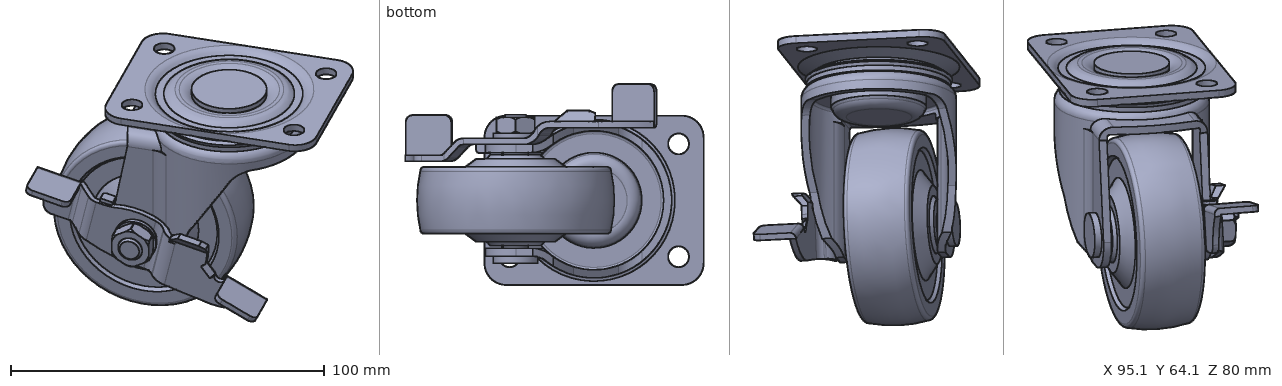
import cadquery as cq
import math


TOTAL_HEIGHT = 80.0
WHEEL_RADIUS = 31.5
AXLE_X = -25.0
AXLE_Z = WHEEL_RADIUS
AXLE_RADIUS = 4.0

PLATE_LENGTH = 69.9
PLATE_WIDTH = 54.0
PLATE_THICKNESS = 2.4
PLATE_CORNER = 7.0
MOUNT_PITCH_X = 53.85
MOUNT_PITCH_Y = 36.0
MOUNT_HOLE_DIAMETER = 6.6
BOWL_DEPTH = 1.7
MOAT_DEPTH = 1.8
BUTTON_RADIUS = 12.0
CREST_INNER_RADIUS = 16.0
CREST_OUTER_RADIUS = 17.3
BOWL_FLOOR_INNER_RADIUS = 20.8
BOWL_FLOOR_OUTER_RADIUS = 23.5
BOWL_EDGE_RADIUS = 26.9
MOAT_CURVE = (13.5, 79.3)
CREST_CURVE = (19.3, 79.4)
BOWL_EDGE_CURVE = (25.0, 79.4)
BOWL_BACK_RADIUS = 25.8
RING_TOP_RADIUS = 20.3
RING_TOP_Z = 75.6
RING_SHOULDER = (22.4, 74.3)
RING_GROOVE = (22.0, 74.0)
RING_LIP_RADIUS = 23.5
RING_LIP_Z = 73.45
RING_LIP_HEIGHT = 1.1
RING_RADIUS = 23.0
STEM_RADIUS = 10.5
CUP_RADIUS = 15.2
CUP_EDGE_Z = 64.4
CUP_RIM = (14.7, 63.6)
CUP_BOTTOM_Z = 61.3
CUP_CURVE = (13.5, 61.9)

SHEET = 2.6
LEG_OUTER_Y = 17.8
LEG_INNER_Y = LEG_OUTER_Y - SHEET
DOME_RADIUS = 24.7
DOME_TOP_Z = 70.7
DOME_FILLET = 3.4
SHELF_TOP_Z = 68.6
SHELF_BEND = 4.5
SHELF_INNER_BEND = 0.8
SHELF_FRONT_X = -31.1
SKIRT_BOTTOM_Z = SHELF_TOP_Z - SHELF_BEND
LEG_BLEND_X = -20.1
LEG_TOP_X = -28.5
LEG_BOTTOM_Z = 20.8
LEG_FRONT_FOOT = (-34.5, 31.9)
LEG_FRONT_CURVE = (-31.7, 23.7)
LEG_REAR_FOOT = (-19.5, LEG_BOTTOM_Z)
LEG_REAR_FOOT_CURVE = (-16.1, 23.2)
LEG_REAR_LOW = (-13.0, 25.6)
LEG_REAR_CURVE = (-9.7, 31.9)
LEG_REAR_MIDDLE = (-6.6, 39.3)
LEG_REAR_TOP = (7.7, 61.1)
SKIRT_CURVE_END_X = 15.2
SKIRT_CURVE = (10.7, 63.4)
FORK_FRONT_LIMIT = -38.1

WHEEL_HALF_WIDTH = 10.7
TREAD_HALF_WIDTH = 9.3
TREAD_EDGE_RADIUS = 30.4
TYRE_FACE_RADIUS = 29.0
TYRE_SHOULDER = (30.1, 10.3)
RIM_OUTER_RADIUS = 24.8
RIM_INNER_RADIUS = 23.9
WEB_HALF_WIDTH = 9.4
HUB_CONE_RADIUS = 17.7
HUB_FACE_RADIUS = 12.6
HUB_HALF_WIDTH = 13.2
BOSS_BASE_RADIUS = 9.2
BOSS_END_RADIUS = 8.1
BOSS_HALF_WIDTH = 14.5

LEVER_SHEET = 2.0
LEVER_TILT = 12.5
LEVER_INNER_Y = -LEG_OUTER_Y
LEVER_OUTER_Y = LEVER_INNER_Y - LEVER_SHEET
PEDAL_STEP = 5.4
RELEASE_STEP = 5.3
PEDAL_INNER_Y = LEVER_INNER_Y + PEDAL_STEP
RELEASE_INNER_Y = LEVER_INNER_Y - RELEASE_STEP
RELEASE_OUTER_FACE_Y = RELEASE_INNER_Y - LEVER_SHEET
PEDAL_BEND_ANGLE = 45.0
PEDAL_BEND_U = -16.5
PEDAL_BEND_RADIUS = 2.3
RELEASE_BEND_ANGLE = 60.0
RELEASE_BEND_U = 8.0
RELEASE_BEND_RADIUS = 3.8
PAD_LENGTH = 14.8
PEDAL_WIDTH = 14.8
PEDAL_START_U = -37.5
PEDAL_TOP_V = 9.2
RELEASE_PAD_OUTER_Y = -37.1
RELEASE_START = (32.2, 1.2)
RELEASE_ANGLE = 13.5
PAD_CORNER = 2.4
PAD_BEND = 1.8
STOP_START_U = -14.6
STOP_LENGTH = 4.2
STOP_REACH = 2.8
STOP_CORNER = 1.1
STOP_TOP_V = 9.4
HOOK_LIP_START = (24.45, 3.0)
HOOK_LIP_END = (28.2, -0.1)
HOOK_LIP_CHAMFER = 1.7
FLANGE_START_U = 11.3
FLANGE_END_U = 24.2
FLANGE_ROOT_V = 6.7
TOP_EDGE_START_V = 7.8
TOP_EDGE_END_V = 7.1
FLANGE_BEND_V = 7.4
FLANGE_INNER_BEND_V = 8.3
FLANGE_TOP_V = 11.3
FLANGE_REACH = 3.5
FLANGE_TIP_WIDTH = 3.1
LEVER_END_U = 47.6
LEVER_HALF_HEIGHT = 12.4

HEAD_RADIUS = 7.1
HEAD_THICKNESS = 2.3
BOLT_END_Y = -27.3
BOLT_CHAMFER = 0.8
WASHER_RADIUS = 7.0
WASHER_THICKNESS = 1.5
NUT_ACROSS_FLATS = 12.3
NUT_END_Y = -26.45
NUT_CORNER_RADIUS = 7.0
NUT_CHAMFER = 0.7


def axle_cylinder(radius, start_y, end_y):
    """Cylinder around the axle, between two Y positions."""
    axle_plane = cq.Workplane("XZ", origin=(AXLE_X, start_y, AXLE_Z))
    return axle_plane.circle(radius).extrude(start_y - end_y)


def make_plate():
    """Mounting plate with its pressed bowl, swivel ring, stem and lower bearing cup."""
    top = TOTAL_HEIGHT
    underside = top - PLATE_THICKNESS
    floor = top - BOWL_DEPTH
    sheet = (
        cq.Workplane("XY", origin=(0, 0, underside))
        .rect(PLATE_LENGTH, PLATE_WIDTH)
        .extrude(PLATE_THICKNESS)
        .edges("|Z")
        .fillet(PLATE_CORNER)
        .faces(">Z")
        .workplane()
        .rect(MOUNT_PITCH_X, MOUNT_PITCH_Y, forConstruction=True)
        .vertices()
        .hole(MOUNT_HOLE_DIAMETER)
    )
    bowl = (
        cq.Workplane("XZ")
        .moveTo(BUTTON_RADIUS, top)
        .lineTo(BUTTON_RADIUS, top - MOAT_DEPTH)
        .threePointArc(MOAT_CURVE, (CREST_INNER_RADIUS, top))
        .lineTo(CREST_OUTER_RADIUS, top)
        .threePointArc(CREST_CURVE, (BOWL_FLOOR_INNER_RADIUS, floor))
        .lineTo(BOWL_FLOOR_OUTER_RADIUS, floor)
        .threePointArc(BOWL_EDGE_CURVE, (BOWL_EDGE_RADIUS, top))
        .close()
        .revolve(360, (0, 0, 0), (0, 1, 0))
    )
    swivel = (
        cq.Workplane("XZ")
        .moveTo(0, top)
        .lineTo(BOWL_BACK_RADIUS, top)
        .lineTo(BOWL_BACK_RADIUS, underside)
        .lineTo(RING_TOP_RADIUS, RING_TOP_Z)
        .lineTo(*RING_SHOULDER)
        .lineTo(*RING_GROOVE)
        .lineTo(RING_LIP_RADIUS, RING_LIP_Z)
        .lineTo(RING_RADIUS, RING_LIP_Z - RING_LIP_HEIGHT)
        .lineTo(RING_RADIUS, DOME_TOP_Z)
        .lineTo(STEM_RADIUS, DOME_TOP_Z)
        .lineTo(STEM_RADIUS, DOME_TOP_Z - SHEET)
        .lineTo(CUP_RADIUS, DOME_TOP_Z - SHEET)
        .lineTo(CUP_RADIUS, CUP_EDGE_Z)
        .lineTo(*CUP_RIM)
        .threePointArc(CUP_CURVE, (STEM_RADIUS, CUP_BOTTOM_Z))
        .lineTo(0, CUP_BOTTOM_Z)
        .close()
        .revolve(360, (0, 0, 0), (0, 1, 0))
    )
    return sheet.union(swivel).cut(bowl)


def leg_outline(inset):
    """Plan of the fork walls: the dome circle blended into two flat legs, moved inwards by `inset`."""
    leg_y = LEG_OUTER_Y - inset
    dome = DOME_RADIUS - inset
    gap = LEG_BLEND_X**2 + leg_y**2 - dome**2
    blend = gap / (2 * (dome - leg_y))
    centre = (LEG_BLEND_X, leg_y + blend)
    to_centre = math.hypot(*centre)
    meet = (centre[0] * dome / to_centre, centre[1] * dome / to_centre)
    half_angle = math.atan2(-centre[0], centre[1]) / 2
    middle = (centre[0] + blend * math.sin(half_angle), centre[1] - blend * math.cos(half_angle))
    return (
        cq.Workplane("XY")
        .moveTo(FORK_FRONT_LIMIT, leg_y)
        .lineTo(LEG_BLEND_X, leg_y)
        .threePointArc(middle, meet)
        .threePointArc((dome, 0), (meet[0], -meet[1]))
        .threePointArc((middle[0], -middle[1]), (LEG_BLEND_X, -leg_y))
        .lineTo(FORK_FRONT_LIMIT, -leg_y)
        .close()
    )


def fork_block(inset, shelf, shelf_bend):
    """Solid fork envelope, moved inwards by `inset`, from a closed shelf outline."""
    walls = leg_outline(inset).extrude(SKIRT_BOTTOM_Z)
    dome = (
        cq.Workplane("XY")
        .circle(DOME_RADIUS - inset)
        .extrude(DOME_TOP_Z - inset)
        .faces(">Z")
        .edges()
        .fillet(DOME_FILLET - inset)
    )
    bent_shelf = shelf.extrude(SHELF_TOP_Z - inset).edges("|X and >Z").fillet(shelf_bend)
    return walls.union(dome).union(bent_shelf)


def leg_side_profile():
    """Side outline of the fork: skirt and sloping legs with rounded ends around the axle."""
    return (
        cq.Workplane("XZ", origin=(0, DOME_RADIUS, 0))
        .moveTo(FORK_FRONT_LIMIT, DOME_TOP_Z)
        .lineTo(FORK_FRONT_LIMIT, SKIRT_BOTTOM_Z)
        .lineTo(LEG_TOP_X, SKIRT_BOTTOM_Z)
        .lineTo(*LEG_FRONT_FOOT)
        .threePointArc(LEG_FRONT_CURVE, (AXLE_X, LEG_BOTTOM_Z))
        .lineTo(*LEG_REAR_FOOT)
        .threePointArc(LEG_REAR_FOOT_CURVE, LEG_REAR_LOW)
        .threePointArc(LEG_REAR_CURVE, LEG_REAR_MIDDLE)
        .lineTo(*LEG_REAR_TOP)
        .threePointArc(SKIRT_CURVE, (SKIRT_CURVE_END_X, SKIRT_BOTTOM_Z))
        .lineTo(DOME_RADIUS, SKIRT_BOTTOM_Z)
        .lineTo(DOME_RADIUS, DOME_TOP_Z)
        .close()
        .extrude(2 * DOME_RADIUS)
    )


def make_fork():
    """Pressed sheet fork: domed crown, front shelf and two legs."""
    outer_shelf = (
        cq.Workplane("XY")
        .moveTo(0, LEG_OUTER_Y)
        .lineTo(LEG_TOP_X, LEG_OUTER_Y)
        .threePointArc((SHELF_FRONT_X, 0), (LEG_TOP_X, -LEG_OUTER_Y))
        .lineTo(0, -LEG_OUTER_Y)
        .close()
    )
    inner_shelf = cq.Workplane("XY").center(FORK_FRONT_LIMIT / 2, 0).rect(-FORK_FRONT_LIMIT, 2 * LEG_INNER_Y)
    outside = fork_block(0, outer_shelf, SHELF_BEND)
    inside = fork_block(SHEET, inner_shelf, SHELF_INNER_BEND)
    stem_hole = cq.Workplane("XY").circle(STEM_RADIUS).extrude(TOTAL_HEIGHT)
    axle_hole = axle_cylinder(AXLE_RADIUS, DOME_RADIUS, -DOME_RADIUS)
    head_seat = axle_cylinder(HEAD_RADIUS, LEG_OUTER_Y + HEAD_THICKNESS, LEG_OUTER_Y)
    shell = outside.cut(inside).intersect(leg_side_profile())
    return shell.cut(stem_hole).cut(axle_hole).cut(head_seat)


def make_wheel():
    """Wheel turned around the axle: crowned tread, recessed web, conical hub and boss."""
    side = [
        (RIM_OUTER_RADIUS, WHEEL_HALF_WIDTH),
        (RIM_INNER_RADIUS, WEB_HALF_WIDTH),
        (HUB_CONE_RADIUS, WEB_HALF_WIDTH),
        (HUB_FACE_RADIUS, HUB_HALF_WIDTH),
        (BOSS_BASE_RADIUS, HUB_HALF_WIDTH),
        (BOSS_END_RADIUS, BOSS_HALF_WIDTH),
        (AXLE_RADIUS, BOSS_HALF_WIDTH),
    ]
    far_side = [(radius, -y) for radius, y in reversed(side)]
    return (
        cq.Workplane("XY")
        .moveTo(TYRE_FACE_RADIUS, -WHEEL_HALF_WIDTH)
        .threePointArc((TYRE_SHOULDER[0], -TYRE_SHOULDER[1]), (TREAD_EDGE_RADIUS, -TREAD_HALF_WIDTH))
        .threePointArc((WHEEL_RADIUS, 0), (TREAD_EDGE_RADIUS, TREAD_HALF_WIDTH))
        .threePointArc(TYRE_SHOULDER, (TYRE_FACE_RADIUS, WHEEL_HALF_WIDTH))
        .polyline(side + far_side, includeCurrent=True)
        .close()
        .revolve(360, (0, 0, 0), (0, 1, 0))
        .translate((AXLE_X, 0, AXLE_Z))
    )


def make_axle():
    """Axle bolt with a flat round head."""
    head_end = LEG_OUTER_Y + HEAD_THICKNESS
    return (
        cq.Workplane("XY")
        .moveTo(0, BOLT_END_Y)
        .lineTo(AXLE_RADIUS - BOLT_CHAMFER, BOLT_END_Y)
        .lineTo(AXLE_RADIUS, BOLT_END_Y + BOLT_CHAMFER)
        .lineTo(AXLE_RADIUS, LEG_OUTER_Y)
        .lineTo(HEAD_RADIUS, LEG_OUTER_Y)
        .lineTo(HEAD_RADIUS, head_end)
        .lineTo(0, head_end)
        .close()
        .revolve(360, (0, 0, 0), (0, 1, 0))
        .translate((AXLE_X, 0, AXLE_Z))
    )


def make_nut():
    """Hexagon nut with a round washer face, flats towards -X and +X."""
    hex_start = LEVER_OUTER_Y - WASHER_THICKNESS
    hexagon = (
        cq.Workplane("XZ", origin=(AXLE_X, hex_start, AXLE_Z))
        .polygon(6, NUT_ACROSS_FLATS, circumscribed=True)
        .extrude(hex_start - NUT_END_Y)
    )
    corner_trim = axle_cylinder(NUT_CORNER_RADIUS, hex_start, NUT_END_Y).edges().chamfer(NUT_CHAMFER)
    hexagon = hexagon.intersect(corner_trim)
    washer = axle_cylinder(WASHER_RADIUS, LEVER_OUTER_Y, hex_start)
    return washer.union(hexagon).cut(axle_cylinder(AXLE_RADIUS, LEVER_OUTER_Y, NUT_END_Y))




def jogged_corners(first_u, first_y, step, angle):
    """Inner and outer face corners of a joggle that steps outwards by `step` along +U."""
    miter = LEVER_SHEET * math.tan(math.radians(angle) / 2)
    run = step / math.tan(math.radians(angle))
    inner = [(first_u, first_y), (first_u + run, first_y - step)]
    outer = [(u - miter, y - LEVER_SHEET) for u, y in inner]
    return inner, outer


def lever_strip():
    """Sheet strip with two joggles, tall enough to be trimmed to the lever outline."""
    pedal_start = PEDAL_BEND_U - PEDAL_STEP / math.tan(math.radians(PEDAL_BEND_ANGLE))
    pedal_bend = jogged_corners(pedal_start, PEDAL_INNER_Y, PEDAL_STEP, PEDAL_BEND_ANGLE)
    release_bend = jogged_corners(RELEASE_BEND_U, LEVER_INNER_Y, RELEASE_STEP, RELEASE_BEND_ANGLE)
    inner_face = [
        (PEDAL_START_U, PEDAL_INNER_Y),
        *pedal_bend[0],
        *release_bend[0],
        (LEVER_END_U, RELEASE_INNER_Y),
    ]
    outer_face = [
        (PEDAL_START_U, PEDAL_INNER_Y - LEVER_SHEET),
        *pedal_bend[1],
        *release_bend[1],
        (LEVER_END_U, RELEASE_OUTER_FACE_Y),
    ]
    strip = (
        cq.Workplane("XY", origin=(0, 0, -LEVER_HALF_HEIGHT))
        .polyline(inner_face + outer_face[::-1])
        .close()
        .extrude(2 * LEVER_HALF_HEIGHT)
    )
    for (inner, outer), radius in (
        (pedal_bend, PEDAL_BEND_RADIUS),
        (release_bend, RELEASE_BEND_RADIUS),
    ):
        tight_corners = (outer[0], inner[1])
        wide_corners = (inner[0], outer[1])
        for corners, corner_radius in ((tight_corners, radius), (wide_corners, radius + LEVER_SHEET)):
            for corner in corners:
                nearest = cq.selectors.NearestToPointSelector((*corner, 0))
                strip = strip.edges("|Z").edges(nearest).fillet(corner_radius)
    return strip


def lever_outline():
    """Side outline of the lever, with the hook notch behind the release pad."""
    return (
        cq.Workplane("XZ")
        .moveTo(PEDAL_START_U, PEDAL_TOP_V - LEVER_SHEET)
        .lineTo(PEDAL_START_U + PAD_LENGTH, PEDAL_TOP_V - LEVER_SHEET)
        .lineTo(PEDAL_START_U + PAD_LENGTH, PEDAL_TOP_V)
        .threePointArc((-15.3, 8.1), (-9.7, 8.4))
        .threePointArc((-2.4, 9.6), (4.1, 8.9))
        .lineTo(FLANGE_START_U, TOP_EDGE_START_V)
        .lineTo(FLANGE_END_U, TOP_EDGE_END_V)
        .lineTo(24.45, 4.5)
        .lineTo(*HOOK_LIP_START)
        .lineTo(*HOOK_LIP_END)
        .threePointArc((29.6, -1.5), (31.8, -0.4))
        .lineTo(46.05, -4.2)
        .threePointArc((37.7, -9.2), (29.4, -10.7))
        .threePointArc((17.5, -9.9), (9.2, -9.4))
        .threePointArc((-1.4, -9.9), (-15.5, -7.0))
        .lineTo(-22.3, -5.5)
        .lineTo(-29.5, -5.7)
        .threePointArc((-31.6, -4.8), (-32.6, -2.9))
        .threePointArc((-34.6, 2.7), (PEDAL_START_U, 6.7))
        .close()
        .extrude(-RELEASE_PAD_OUTER_Y)
    )


def pad(inner_y, outer_y):
    """Flat foot pad from U = 0, its top at V = 0, with rounded outer corners and a rounded bend."""
    return (
        cq.Workplane("XY")
        .rect(PAD_LENGTH, inner_y - outer_y)
        .extrude(-LEVER_SHEET)
        .translate((PAD_LENGTH / 2, (inner_y + outer_y) / 2, 0))
        .edges("|Z and <Y")
        .fillet(PAD_CORNER)
        .edges(">Y and >Z")
        .fillet(PAD_BEND)
    )


def brake_flange():
    """Flange bent outwards and upwards from the top edge, between the nut and the hook notch."""
    tip_y = RELEASE_OUTER_FACE_Y - FLANGE_REACH
    section = (
        cq.Workplane("YZ", origin=(FLANGE_START_U, 0, 0))
        .moveTo(RELEASE_INNER_Y, FLANGE_ROOT_V)
        .lineTo(RELEASE_OUTER_FACE_Y, FLANGE_ROOT_V)
        .lineTo(RELEASE_OUTER_FACE_Y, FLANGE_BEND_V)
        .lineTo(tip_y, FLANGE_TOP_V)
        .lineTo(tip_y + FLANGE_TIP_WIDTH, FLANGE_TOP_V)
        .lineTo(RELEASE_INNER_Y, FLANGE_INNER_BEND_V)
        .close()
        .extrude(FLANGE_END_U - FLANGE_START_U)
    )
    outline = (
        cq.Workplane("XZ")
        .moveTo(FLANGE_START_U, FLANGE_ROOT_V)
        .lineTo(FLANGE_END_U, FLANGE_ROOT_V)
        .lineTo(23.8, 10.4)
        .lineTo(21.5, FLANGE_TOP_V)
        .lineTo(14.4, FLANGE_TOP_V)
        .lineTo(FLANGE_START_U, TOP_EDGE_START_V)
        .close()
        .extrude(-tip_y)
    )
    return section.intersect(outline)


def stop_tab():
    """Tab bent inwards from the top edge, in front of the fork leg."""
    depth = STOP_REACH + LEVER_SHEET / 2
    return (
        cq.Workplane("XY")
        .rect(STOP_LENGTH, depth)
        .extrude(-LEVER_SHEET)
        .edges("|Z and >Y and <X")
        .fillet(STOP_CORNER)
        .translate((STOP_START_U + STOP_LENGTH / 2, LEVER_INNER_Y + STOP_REACH - depth / 2, STOP_TOP_V))
    )


def hook_lip_bevel():
    """Material removed along the outer face to bevel the hook lip."""
    du = HOOK_LIP_END[0] - HOOK_LIP_START[0]
    dv = HOOK_LIP_END[1] - HOOK_LIP_START[1]
    lip_plane = cq.Plane(
        origin=(HOOK_LIP_START[0], RELEASE_OUTER_FACE_Y, HOOK_LIP_START[1]),
        xDir=(0, -1, 0),
        normal=(du, 0, dv),
    )
    return (
        cq.Workplane(lip_plane)
        .polyline([(-HOOK_LIP_CHAMFER, 0), (0, HOOK_LIP_CHAMFER), (0, 0)])
        .close()
        .extrude(math.hypot(du, dv))
    )


def make_lever(fork):
    """Brake lever of bent sheet: pedal, stop tab, brake flange and release pad, clear of the fork."""
    pedal = pad(PEDAL_INNER_Y, PEDAL_INNER_Y - PEDAL_WIDTH).translate((PEDAL_START_U, 0, PEDAL_TOP_V))
    release = (
        pad(RELEASE_INNER_Y, RELEASE_PAD_OUTER_Y)
        .rotate((0, 0, 0), (0, 1, 0), RELEASE_ANGLE)
        .translate((RELEASE_START[0], 0, RELEASE_START[1]))
    )
    level_lever = (
        lever_strip()
        .intersect(lever_outline())
        .cut(hook_lip_bevel())
        .union(pedal)
        .union(release)
        .union(brake_flange())
        .union(stop_tab())
    )
    lever = level_lever.rotate((0, 0, 0), (0, 1, 0), LEVER_TILT).translate((AXLE_X, 0, AXLE_Z))
    axle_hole = axle_cylinder(AXLE_RADIUS, 0, BOLT_END_Y)
    washer_seat = axle_cylinder(WASHER_RADIUS, LEVER_OUTER_Y, NUT_END_Y)
    return lever.cut(axle_hole).cut(washer_seat).cut(fork)


plate = make_plate()
fork = make_fork()
wheel = make_wheel()
axle = make_axle()
nut = make_nut()
lever = make_lever(fork)

result = cq.Compound.makeCompound(
    [plate.val(), fork.val(), wheel.val(), axle.val(), nut.val(), lever.val()]
)